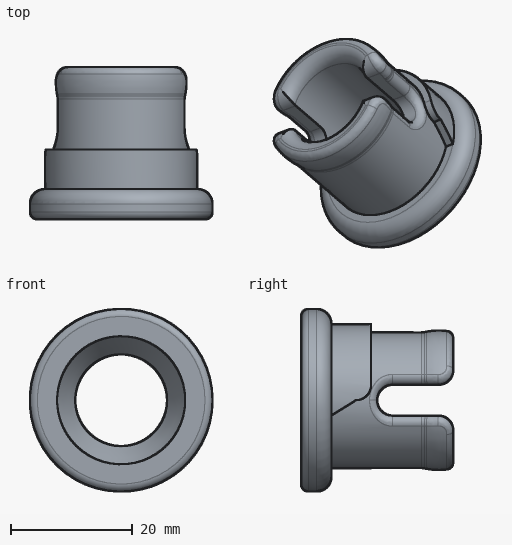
import cadquery as cq
import math

total_length = 25.0

flange_radius = 15.0
flange_thickness = 5.0
flange_front_round = 1.25
flange_back_round = flange_thickness / 2

collar_radius = flange_radius - flange_back_round
collar_end = 11.5
collar_corner_radius = 2.5
collar_low_z = -2.5

sleeve_radius = 11.15
rim_radius = 11.45
rim_peak_y = 22.5
rim_start_y = 19.75
rim_cone_start_y = 20.25
rim_cone_start_radius = 11.22
rim_cone_end_y = 20.58
rim_cone_end_radius = 11.28
rim_end_radius = 11.2

bore_radius = 7.5
mouth_radius = 10.5
mouth_depth = 5.0
mouth_blend_radius = 1.0
bore_exit_round = 2.25

slot_width = 5.0
slot_center_y = 15.0
slot_corner_radius = 2.5
outer_edge_round = 1.25
end_tolerance = 0.003

DIAGONAL = math.sqrt(0.5)


def revolve_about_y(profile):
    return profile.close().revolve(360, (0, 0, 0), (0, 1, 0))


def extrude_across(profile, width):
    """Extrude a closed YZ profile symmetrically along X."""
    return profile.close().extrude(width / 2, both=True)


def make_flange():
    disc = cq.Workplane("XZ").circle(flange_radius).extrude(-flange_thickness)
    disc = disc.faces("<Y").edges().fillet(flange_front_round)
    return disc.faces(">Y").edges().fillet(flange_back_round)


def make_slot_cutter():
    """U-shaped slot whose mouth flares out with rounded corners."""
    half_width = slot_width / 2
    flare = half_width + slot_corner_radius
    corner_y = total_length - slot_corner_radius
    corner_mid_y = corner_y + slot_corner_radius * DIAGONAL
    corner_mid_z = flare - slot_corner_radius * DIAGONAL
    profile = (
        cq.Workplane("YZ")
        .moveTo(slot_center_y, half_width)
        .lineTo(corner_y, half_width)
        .threePointArc((corner_mid_y, corner_mid_z), (total_length, flare))
        .lineTo(total_length, -flare)
        .threePointArc((corner_mid_y, -corner_mid_z), (corner_y, -half_width))
        .lineTo(slot_center_y, -half_width)
        .threePointArc((slot_center_y - half_width, 0), (slot_center_y, half_width))
    )
    return extrude_across(profile, 2 * flange_radius)


def make_sleeve():
    profile = (
        cq.Workplane("XY")
        .moveTo(bore_radius, mouth_depth)
        .lineTo(sleeve_radius, mouth_depth)
        .lineTo(sleeve_radius, rim_start_y)
        .tangentArcPoint((rim_cone_start_radius, rim_cone_start_y), relative=False)
        .lineTo(rim_cone_end_radius, rim_cone_end_y)
        .threePointArc((rim_radius, rim_peak_y), (rim_end_radius, total_length))
        .lineTo(bore_radius, total_length)
    )
    mid_wall_radius = (bore_radius + sleeve_radius) / 2
    slot_reach = slot_width / 2 + slot_corner_radius
    sleeve = revolve_about_y(profile).cut(make_slot_cutter())

    def is_outer_cut_edge(edge):
        """True along the outside of the slot and of the end face, clear of the bore."""
        middle = edge.positionAt(0.5)
        reach = [math.hypot(p.x, p.z) for p in (edge.startPoint(), middle, edge.endPoint())]
        outside = min(reach) > mid_wall_radius
        in_slot = abs(middle.z) < slot_reach and middle.y > collar_end
        on_end = middle.y > total_length - end_tolerance
        return outside and (in_slot or on_end)

    edges = [edge for edge in sleeve.edges().vals() if is_outer_cut_edge(edge)]
    return sleeve.newObject(edges).fillet(outer_edge_round)


def make_collar():
    """Cylinder band trimmed to its upper half, with a rounded corner and a sloping lower edge."""
    corner_y = collar_end - collar_corner_radius
    profile = (
        cq.Workplane("YZ")
        .moveTo(mouth_depth, collar_radius)
        .lineTo(collar_end, collar_radius)
        .lineTo(collar_end, collar_corner_radius)
        .threePointArc(
            (corner_y + collar_corner_radius * DIAGONAL, collar_corner_radius * (1 - DIAGONAL)),
            (corner_y, 0),
        )
        .lineTo(mouth_depth, collar_low_z)
    )
    band = cq.Workplane("XZ").circle(collar_radius).extrude(-collar_end)
    return band.intersect(extrude_across(profile, 2 * collar_radius))


def make_bore():
    """Through bore with a conical mouth, blended where the two meet, and a rounded exit."""
    slope = math.atan2(mouth_radius - bore_radius, mouth_depth)
    setback = mouth_blend_radius * math.tan(slope / 2)
    exit_start_y = total_length - bore_exit_round
    cone_end = (bore_radius + setback * math.sin(slope), mouth_depth - setback * math.cos(slope))
    profile = (
        cq.Workplane("XY")
        .moveTo(0, 0)
        .lineTo(mouth_radius, 0)
        .lineTo(*cone_end)
        .tangentArcPoint((bore_radius, mouth_depth + setback), relative=False)
        .lineTo(bore_radius, exit_start_y)
        .threePointArc(
            (
                bore_radius + bore_exit_round * (1 - DIAGONAL),
                exit_start_y + bore_exit_round * DIAGONAL,
            ),
            (bore_radius + bore_exit_round, total_length),
        )
        .lineTo(0, total_length)
    )
    return revolve_about_y(profile)


result = make_flange().union(make_sleeve()).union(make_collar()).cut(make_bore())